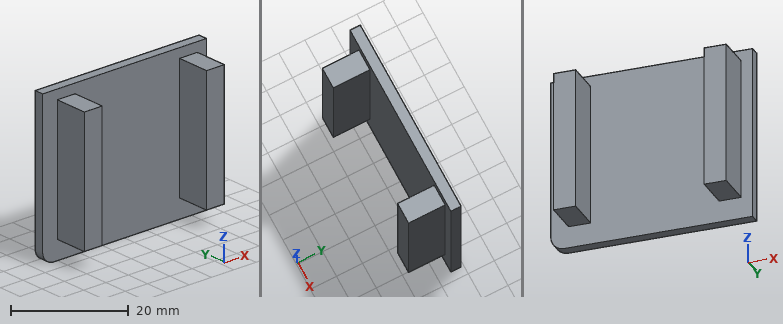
import cadquery as cq

plate_width = 36.75
plate_height = 31.68
total_depth = 9.0
plate_thickness = 2.0
corner_radius = 2.5

rail_width = 4.0
rail_depth = total_depth - plate_thickness
left_margin = 3.27
right_margin = 2.05
top_margin = 2.0
bottom_margin = 3.97
rail_height = plate_height - top_margin - bottom_margin


def make_plate():
    """Plate with its lower left corner rounded; its -Y face lies on Y = 0."""
    plate = cq.Workplane("XY").box(plate_width, plate_thickness, plate_height, centered=False)
    return plate.edges("|Y").edges("<X").edges("<Z").fillet(corner_radius)


def make_rail(left_x):
    """Rail reaching from the plate toward -Y."""
    rail = cq.Workplane("XY").box(rail_width, rail_depth, rail_height, centered=False)
    return rail.translate((left_x, -rail_depth, bottom_margin))


result = make_plate()
for rail_x in (left_margin, plate_width - right_margin - rail_width):
    result = result.union(make_rail(rail_x))